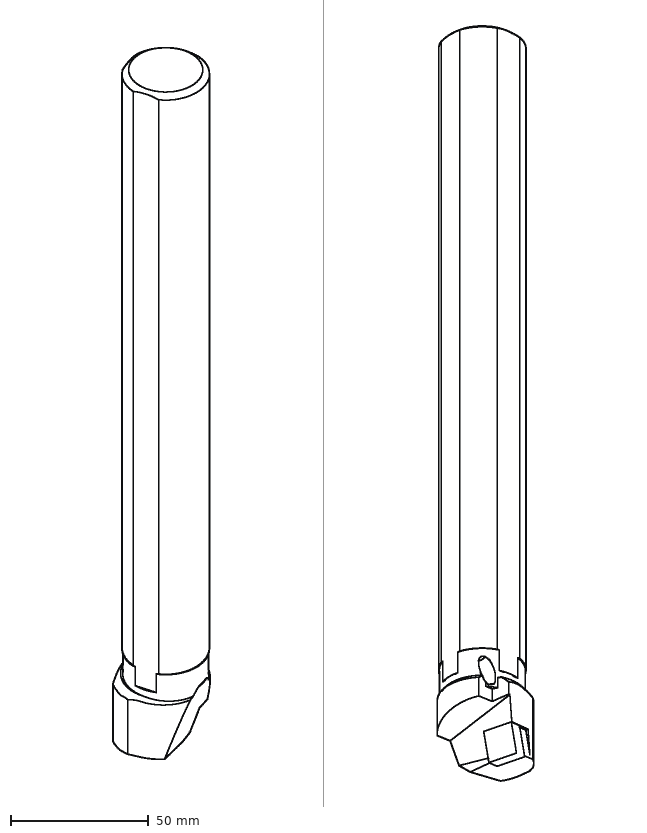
import cadquery as cq
import math

TOTAL_LENGTH = 306.0
SHANK_RADIUS = 16.0
SHANK_BOTTOM = 43.5
SHANK_FLAT_DISTANCE = 15.0
FLAT_BOTTOM = 35.0
NECK_RADIUS = 15.5
NECK_BOTTOM = 27.5
END_CHAMFER_WIDTH = 2.5
END_CHAMFER_HEIGHT = 1.8

HEAD_TOP = 31.8
SHOULDER_ANGLE = 40.0
HEAD_DIAMETER = 34.0
HEAD_RADIUS = HEAD_DIAMETER / 2
HEAD_CENTER_X = -1.0
SIDE_TOP = (-18.7, 2.8)
SIDE_BOTTOM = (-16.2, -10.5)
SIDE_BLEND = (-13.5, -13.2)
CORNER = (-10.0, -15.5)
FRONT_FLAT_START = -6.5
RECESS_X = -13.0
RECESS_BOTTOM_Y = 5.8
BACK_SLOPE_TOP = (15.3, 33.7)
BACK_SLOPE_BOTTOM = (7.0, 3.7)
NOSE_X = -18.7
NOSE_HEIGHT = 1.0
RISE_X = 0.11
RISE_FRONT = 0.12
RISE_REAR = 0.2

LOBE_LEFT_HEIGHT = 22.3
LOBE_RIGHT_HEIGHT = 16.0
LOBE_RIGHT_X = 10.5
POCKET_REACH = 24.5

COOLANT_DIAMETER = 5.2
COOLANT_MOUTH = (-15.5, 8.3, 29.7)
COOLANT_SLOPE = 0.56
COOLANT_DEPTH = 15.3

TIP = (-19.3, -0.3, 0.0)
RAKE_SLOPE_X = 0.18
RAKE_SLOPE_Z = 0.1
INSERT_EDGE = 13.2
INSERT_ANGLE = 80.0
INSERT_THICKNESS = 4.5
INSERT_LEAD = 4.0
NOSE_RADIUS = 0.3
SEAT_RELIEF = 1.0
SEAT_DEPTH = 9.2

CUT_SIZE = 122.5

rake_plane = cq.Plane(
    origin=TIP,
    xDir=(1, RAKE_SLOPE_X, 0),
    normal=(-RAKE_SLOPE_X, 1, -RAKE_SLOPE_Z),
)


def edge_vector(angle, length):
    """Vector in the rake plane, turned upward by angle; the local Y axis points down."""
    return (length * math.cos(math.radians(angle)), -length * math.sin(math.radians(angle)))


def make_shank():
    shank = (
        cq.Workplane("XY").workplane(offset=SHANK_BOTTOM)
        .circle(SHANK_RADIUS).extrude(TOTAL_LENGTH - SHANK_BOTTOM)
    )
    neck = (
        cq.Workplane("XY").workplane(offset=NECK_BOTTOM)
        .circle(NECK_RADIUS).extrude(SHANK_BOTTOM - NECK_BOTTOM)
    )
    bar = shank.union(neck)
    slab_offset = SHANK_FLAT_DISTANCE + SHANK_RADIUS / 2
    for direction_x, direction_y in ((-1, 0), (0, -1), (0, 1)):
        slab = cq.Workplane("XY").box(
            SHANK_RADIUS if direction_x else 2 * SHANK_RADIUS,
            SHANK_RADIUS if direction_y else 2 * SHANK_RADIUS,
            TOTAL_LENGTH - FLAT_BOTTOM,
            centered=(True, True, False),
        ).translate((direction_x * slab_offset, direction_y * slab_offset, FLAT_BOTTOM))
        bar = bar.cut(slab)
    envelope = (
        cq.Workplane("XZ")
        .polyline([
            (0, 0),
            (SHANK_RADIUS, 0),
            (SHANK_RADIUS, TOTAL_LENGTH - END_CHAMFER_HEIGHT),
            (SHANK_RADIUS - END_CHAMFER_WIDTH, TOTAL_LENGTH),
            (0, TOTAL_LENGTH),
        ])
        .close().revolve()
    )
    return bar.intersect(envelope)


def make_head_blank():
    recess_top_y = math.sqrt(HEAD_RADIUS**2 - (RECESS_X - HEAD_CENTER_X) ** 2)
    blank = (
        cq.Workplane("XY")
        .moveTo(*SIDE_TOP)
        .lineTo(*SIDE_BOTTOM)
        .threePointArc(SIDE_BLEND, CORNER)
        .lineTo(FRONT_FLAT_START, -HEAD_RADIUS)
        .lineTo(HEAD_CENTER_X, -HEAD_RADIUS)
        .threePointArc((HEAD_CENTER_X + HEAD_RADIUS, 0), (RECESS_X, recess_top_y))
        .lineTo(RECESS_X, RECESS_BOTTOM_Y)
        .close()
        .extrude(HEAD_TOP)
    )
    envelope = (
        cq.Workplane("XY").workplane(offset=HEAD_TOP).center(HEAD_CENTER_X, 0)
        .circle(NECK_RADIUS).extrude(-HEAD_TOP, taper=-SHOULDER_ANGLE)
    )
    return blank.intersect(envelope)


def make_back_cut():
    return (
        cq.Workplane("XZ")
        .polyline([
            BACK_SLOPE_TOP,
            (BACK_SLOPE_TOP[0] + CUT_SIZE, BACK_SLOPE_TOP[1]),
            (BACK_SLOPE_TOP[0] + CUT_SIZE, -CUT_SIZE),
            (BACK_SLOPE_BOTTOM[0], -CUT_SIZE),
            BACK_SLOPE_BOTTOM,
        ])
        .close().extrude(CUT_SIZE / 2, both=True)
    )


def make_underside_cut(rise_y):
    """Everything below a plane that rises along X and by rise_y along Y."""
    plane = cq.Plane(
        origin=(NOSE_X, 0, NOSE_HEIGHT), xDir=(1, 0, RISE_X), normal=(-RISE_X, -rise_y, 1)
    )
    return cq.Workplane(plane).rect(CUT_SIZE, CUT_SIZE).extrude(-CUT_SIZE)


def make_chip_pocket():
    """Space above the rake plane and below the sloping underside of the lobe."""
    slope = (LOBE_RIGHT_HEIGHT - LOBE_LEFT_HEIGHT) / (LOBE_RIGHT_X - RECESS_X)
    left = RECESS_X - POCKET_REACH
    right = LOBE_RIGHT_X + POCKET_REACH
    below_lobe = (
        cq.Workplane("XZ")
        .polyline([
            (left, -POCKET_REACH),
            (right, -POCKET_REACH),
            (right, LOBE_RIGHT_HEIGHT + slope * POCKET_REACH),
            (left, LOBE_LEFT_HEIGHT - slope * POCKET_REACH),
        ])
        .close().extrude(CUT_SIZE / 2, both=True)
    )
    above_rake = cq.Workplane(rake_plane).rect(CUT_SIZE, CUT_SIZE).extrude(CUT_SIZE)
    return below_lobe.intersect(above_rake)


def make_coolant_hole():
    plane = cq.Plane(origin=COOLANT_MOUTH, xDir=(0, 1, 0), normal=(COOLANT_SLOPE, 0, 1))
    return cq.Workplane(plane).circle(COOLANT_DIAMETER / 2).extrude(COOLANT_DEPTH)


def make_insert():
    """Rhombic cutting plate, flush with the rake plane."""
    bottom = edge_vector(INSERT_LEAD, INSERT_EDGE)
    side = edge_vector(INSERT_LEAD + INSERT_ANGLE, INSERT_EDGE)
    far = (bottom[0] + side[0], bottom[1] + side[1])
    plate = (
        cq.Workplane(rake_plane)
        .polyline([(0, 0), bottom, far, side]).close()
        .extrude(-INSERT_THICKNESS)
    )
    through_edges = plate.edges(cq.ParallelDirSelector(rake_plane.zDir))
    return through_edges.edges("<Z").fillet(NOSE_RADIUS)


def make_seat_relief():
    """Clearance beside and under the side edge of the insert."""
    side = edge_vector(INSERT_LEAD + INSERT_ANGLE, INSERT_EDGE)
    below = edge_vector(INSERT_LEAD + INSERT_ANGLE, -INSERT_EDGE)
    return (
        cq.Workplane(rake_plane)
        .polyline([
            (side[0] + SEAT_RELIEF, side[1]),
            (below[0] + SEAT_RELIEF, below[1]),
            (below[0] - INSERT_EDGE, below[1]),
            (side[0] - INSERT_EDGE, side[1]),
        ])
        .close().extrude(-SEAT_DEPTH)
    )


insert = make_insert()

head = make_head_blank()
head = head.cut(make_underside_cut(-RISE_FRONT)).cut(make_underside_cut(RISE_REAR))
head = head.cut(make_chip_pocket()).cut(make_seat_relief())

bar = make_shank().union(head).cut(make_back_cut()).cut(make_coolant_hole()).cut(insert)

result = cq.Compound.makeCompound([bar.val(), insert.val()])